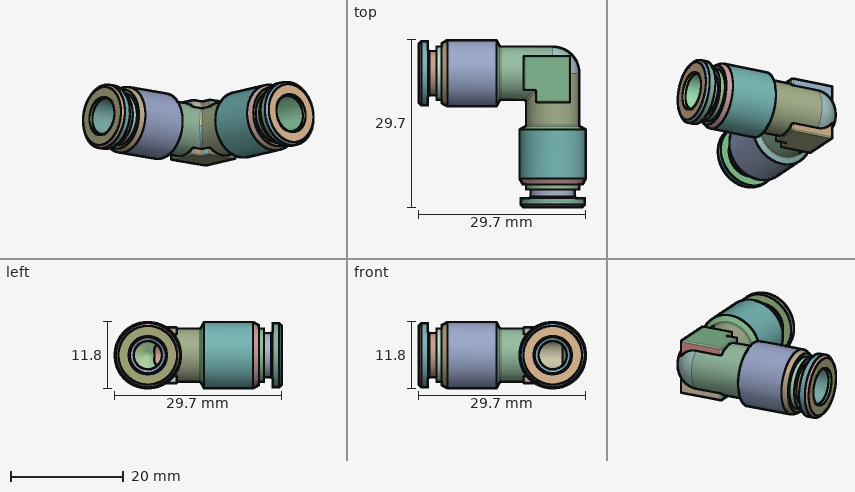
import cadquery as cq
import math

LEG_LENGTH = 23.8

FLANGE_RADIUS = 5.7
FLANGE_CHAMFER = 0.5
FLANGE_WIDTH = 1.65
NECK_RADIUS = 3.95
NECK_TAPER_RADIUS = 4.1
NECK_TAPER_LENGTH = 0.3

PIPE_RADIUS = 4.75
COLLAR_START = 3.15
SLEEVE_RADIUS = 5.9
SLEEVE_START = 4.1
SLEEVE_NOSE_LENGTH = 1.0
SLEEVE_NOSE_ANGLE = math.radians(30)
SLEEVE_NOSE_RADIUS = SLEEVE_RADIUS - SLEEVE_NOSE_LENGTH * math.tan(SLEEVE_NOSE_ANGLE)
SLEEVE_SHOULDER = 13.8

SHOULDER_ANGLE = math.radians(30)
SHOULDER_ROUND = 0.25
SHOULDER_TANGENT = SHOULDER_ROUND * math.tan((math.pi / 2 - SHOULDER_ANGLE) / 2)
SHOULDER_CORNER = SLEEVE_SHOULDER + (SLEEVE_RADIUS - PIPE_RADIUS) * math.tan(SHOULDER_ANGLE)
SHOULDER_BLEND_START = SHOULDER_CORNER - SHOULDER_TANGENT * math.sin(SHOULDER_ANGLE)
SHOULDER_BLEND_RADIUS = PIPE_RADIUS + SHOULDER_TANGENT * math.cos(SHOULDER_ANGLE)
SLEEVE_END = SHOULDER_CORNER + SHOULDER_TANGENT

SOCKET_RADIUS = 3.2
SOCKET_MOUTH_RADIUS = 3.4
SOCKET_MOUTH_DEPTH = 0.5
SOCKET_DEPTH = SLEEVE_SHOULDER
BORE_RADIUS = 2.5
DRILL_HALF_ANGLE = math.radians(59)
X_BORE_OVERRUN = 1.7

PAD_HEIGHT = 5.0
PAD_OUTER = 3.1
PAD_INNER = 5.15
PAD_NOTCH = 3.0
PAD_ROUND = 0.25

CREASE_ROUND = 0.3


def revolve_about_x(profile):
    """Turn a closed profile in the XY plane into a solid about the X axis."""
    return profile.revolve(360, (0, 0, 0), (1, 0, 0))


def to_y_leg(shape):
    """Turn a -X leg shape onto the -Y leg."""
    return shape.rotate((0, 0, 0), (0, 0, 1), 90)


def drill_point_length(radius):
    """Length of a drill-point cone of the given base radius."""
    return radius / math.tan(DRILL_HALF_ANGLE)


def leg_fitting():
    """Sleeve, collar, neck and flange of the -X leg."""
    end = -LEG_LENGTH
    flange_back = end + FLANGE_WIDTH
    outline = [
        (end, 0),
        (end, FLANGE_RADIUS - FLANGE_CHAMFER),
        (end + FLANGE_CHAMFER, FLANGE_RADIUS),
        (flange_back, FLANGE_RADIUS),
        (flange_back, NECK_TAPER_RADIUS),
        (flange_back + NECK_TAPER_LENGTH, NECK_RADIUS),
        (end + COLLAR_START, NECK_RADIUS),
        (end + COLLAR_START, PIPE_RADIUS),
        (end + SLEEVE_START, PIPE_RADIUS),
        (end + SLEEVE_START, SLEEVE_NOSE_RADIUS),
        (end + SLEEVE_START + SLEEVE_NOSE_LENGTH, SLEEVE_RADIUS),
        (end + SLEEVE_SHOULDER, SLEEVE_RADIUS),
        (end + SHOULDER_BLEND_START, SHOULDER_BLEND_RADIUS),
    ]
    profile = (
        cq.Workplane("XY")
        .polyline(outline)
        .tangentArcPoint((end + SLEEVE_END, PIPE_RADIUS), relative=False)
        .lineTo(end + SLEEVE_END, 0)
        .close()
    )
    return revolve_about_x(profile)


def elbow_pipe():
    """Two pipes meeting at the origin, with a ball outer corner and a rounded inner crease."""
    length = LEG_LENGTH - SLEEVE_END
    pipe = cq.Workplane("YZ").circle(PIPE_RADIUS).extrude(-length)
    ball = cq.Workplane("XY").sphere(PIPE_RADIUS)
    elbow = pipe.union(to_y_leg(pipe)).union(ball)
    return elbow.edges("%ELLIPSE").fillet(CREASE_ROUND)


def pad():
    """Rounded L-shaped pad rising from the leg plane to the pad face."""
    outline = [
        (PAD_OUTER, PAD_OUTER),
        (-PAD_INNER, PAD_OUTER),
        (-PAD_INNER, -PAD_NOTCH),
        (-PAD_NOTCH, -PAD_NOTCH),
        (-PAD_NOTCH, -PAD_INNER),
        (PAD_OUTER, -PAD_INNER),
    ]
    block = cq.Workplane("XY").polyline(outline).close().extrude(PAD_HEIGHT)
    return block.edges("|Z").fillet(PAD_ROUND).faces(">Z").edges().fillet(PAD_ROUND)


def leg_bore(bore_end):
    """Tube socket and flow bore of the -X leg; bore_end is where the full bore stops."""
    end = -LEG_LENGTH
    socket_end = end + SOCKET_DEPTH
    seat_length = drill_point_length(SOCKET_RADIUS - BORE_RADIUS)
    outline = [
        (end, 0),
        (end, SOCKET_MOUTH_RADIUS),
        (end + SOCKET_MOUTH_DEPTH, SOCKET_RADIUS),
        (socket_end, SOCKET_RADIUS),
        (socket_end + seat_length, BORE_RADIUS),
        (bore_end, BORE_RADIUS),
        (bore_end + drill_point_length(BORE_RADIUS), 0),
    ]
    return revolve_about_x(cq.Workplane("XY").polyline(outline).close())


top_pad = pad()
bottom_pad = top_pad.mirror("XY")

result = (
    elbow_pipe()
    .union(top_pad)
    .union(bottom_pad)
    .union(leg_fitting())
    .union(to_y_leg(leg_fitting()))
    .cut(leg_bore(X_BORE_OVERRUN))
    .cut(to_y_leg(leg_bore(0)))
)